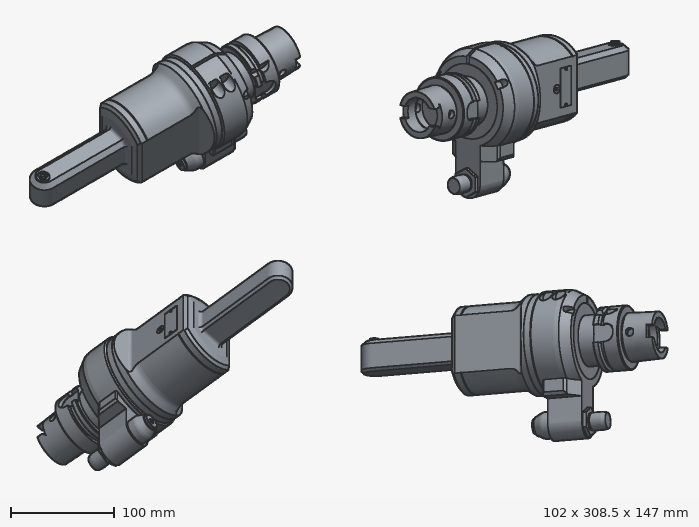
import cadquery as cq


TAIL_R = 46.0 / 2
TAPER_R = 24.0
RELIEF_R = 22.5
RELIEF_START = 30.2
FLANGE_START = 31.8
FLANGE_R = 31.5
FLANGE_CHAMFER = 1.0
GROOVE_R = 27.8
GROOVE_RIM_START = 47.5
GROOVE_FLOOR_START = 47.8
GROOVE_FLOOR_END = 51.2
GROOVE_RIM_END = 52.7
FLANGE_END = 58.3
NECK_R = 25.0
BORE_MOUTH_DIA = 34.0
BORE_CHAMBER_DIA = 38.0
BORE_MOUTH_DEPTH = 17.0
BORE_DEPTH = 29.3
CROSS_HOLE_DIA = 8.0
CROSS_HOLE_STATION = 22.5
FAR_SLOT_HALF = 12.5 / 2
FAR_SLOT_DEPTH = 5.5
NEAR_SLOT_HALF = 9.0
NEAR_SLOT_FLARE_HALF = 12.0
NEAR_SLOT_FLARE_START = 6.2
NEAR_SLOT_DEPTH = 9.3
KEYWAY_WIDTH = 18.0
KEYWAY_FLOOR = 26.5
KEYWAY_START = 36.7
NOTCH_FLOOR = 19.5
NOTCH_START = 36.0
NOTCH_HEIGHT = 28.0

RING_START = 75.2
RING_END = 115.5
RING_R = 102.0 / 2
RING_BACK_R = 89.0 / 2
CONE_END = 85.7
CONE_END_R = 50.3
CROWN_START = 90.7
RING_LIP = 1.5
SLIT_WIDTH = 3.0
SPIGOT_R = 37.0
SCREW_DIA = 12.0
SCREW_HEIGHT = 41.0
SCREW_FLOOR = 22.2
SCREW_STATIONS = (93.5, 106.5)
SPANNER_DIA = 7.5
SPANNER_STATION = 80.2
SPANNER_ANGLE = 30
SPANNER_FLOOR_R = 41.5
SHOULDER_HALF = 29.5
SHOULDER_CONE_HALF = 28.0
SHOULDER_SIDE_START = 88.8
SHOULDER_BOTTOM = 57.5
SHOULDER_CHAMFER_X = 2.2
SHOULDER_CHAMFER_Z = 3.5
SHOULDER_FRONT_CHAMFER = 1.2
ARM_END = 110.5
ARM_HALF = 15.5
TOTAL_HEIGHT = 147.0
ARM_BOTTOM = TOTAL_HEIGHT - RING_R
ARM_SIDE_END = 82.0
PIN_DROP = 80.2

PIN_SHANK_R = 6.2
PIN_REAR_R = 9.0
PIN_REAR_START = 54.0
PIN_REAR_TIP_R = 7.7
PIN_REAR_CHAMFER_R = 8.3
PIN_REAR_CHAMFER_END = 55.2
PIN_REAR_TAPER_END = 58.5
PIN_UNDERCUT = 0.5
PIN_UNDERCUT_START = 70.0
PIN_HEX_START = 71.5
PIN_HEX_CORNER_R = 14.5
PIN_HEAD_R = 13.3
PIN_HEAD_TAPER_START = 118.0
PIN_CONE_R = 12.5
PIN_CONE_START = 120.3
PIN_CONE_END = 127.5
PIN_CONE_END_R = 9.3
PIN_TIP_R = 7.5
PIN_END = 129.8
PIN_SOCKET_DIA = 6.0
PIN_SOCKET_DEPTH = 4.5

HOUSING_R = 49.3
SEAM_R = 49.0
SEAM_STATION = 121.8
SEAM_WIDTH = 0.5
HOUSING_SHOULDER = 129.5
HOUSING_RIM = 134.0
HOUSING_RIM_R = 46.3
NECK_FILLET_MID_R = 44.0
NECK_FILLET_MID = 137.5
BARREL_START = 142.0
BARREL_R = 43.2
NOSE_SEAM_STATION = 193.5
NOSE_SEAM_DEPTH = 0.3
NOSE_EDGE = 201.0
NOSE_CONE_START = 203.8
NOSE_CONE_R = 39.8
NOSE_FACE = 206.0
NOSE_FACE_R = 31.0
FLAT_X = 32.5
FLAT_RUNOUT_X = 35.5
FLAT_RUNOUT_STATION = 130.0
FLAT_FILLET_END = 134.0
FLAT_FILLET_MID = (33.3, 131.5)
FLAT_SLOPE_X = 51.2
FLAT_SLOPE_STATION = 124.5
NOSE_FLAT_EDGE = 200.0
NOSE_FLAT_MID_X = 30.0
NOSE_FLAT_FACE_X = 23.7
ENGRAVE_DEPTH = 0.3
PLATE_STATION = 183.8
PLATE_WIDTH = 16.0
PLATE_HEIGHT = 39.2
PLATE_CORNER_R = 1.0
RIVET_DIA = 2.5
RIVET_HEIGHT = 18.0
RIVET_LENGTH = 1.0
PLUG_STATION = 170.2
PLUG_DIA = 8.5
PLUG_SOCKET_DIA = 3.0
PLUG_SOCKET_DEPTH = 2.0

BAR_END = 308.5
BAR_HALF = 14.2
BAR_TOP = 17.0
BAR_BOTTOM = -14.8
BAR_TOP_CHAMFER_X = 5.2
BAR_TOP_CHAMFER_Z = 4.5
BAR_BOTTOM_CHAMFER = 2.8
BAR_ROOT_FILLET = 3.5
NUT_STATION = 295.7
NUT_RECESS_DIA = 12.5
NUT_RECESS_DEPTH = 1.5
NUT_NECK_R = 3.0
NUT_RIM_R = 4.3
NUT_TOP = 19.7
NUT_RIM_THICKNESS = 1.0
NUT_SEAT_DEPTH = 6.2
NUT_SOCKET_DIA = 5.0
NUT_SOCKET_DEPTH = 2.0

HEX_SIDES = 6
ROOT_MARGIN = 0.3
CLEAR = 123.5


def axial(pairs):
    """Points in the XY plane from (x or radius, station) pairs."""
    return [(x, -station) for x, station in pairs]


def turned(profile):
    """Solid of revolution about Y from (radius, station) pairs."""
    return cq.Workplane("XY").polyline(axial(profile)).close().revolve(360, (0, 0, 0), (0, 1, 0))


def across(station):
    """Plane across the main axis: local x is X, local y is Z, normal toward the nose."""
    return cq.Workplane("XZ", origin=(0, -station, 0))


def plan(points, bottom, height):
    """Prism along Z from (x, station) pairs."""
    return cq.Workplane("XY", origin=(0, 0, bottom)).polyline(axial(points)).close().extrude(height)


def facing_x(x, station=0.0, z=0.0):
    """Plane facing +X: local x is Y, local y is Z."""
    return cq.Workplane("YZ", origin=(x, -station, z))


def box(x0, x1, station0, station1, z0, z1):
    """Rectangular block between two x, two station and two z limits."""
    return plan([(x0, station0), (x1, station0), (x1, station1), (x0, station1)], z0, z1 - z0)


def flange_slot(floor, start):
    """Round-ended keyway cutter on the +X side, open toward the neck."""
    radius = KEYWAY_WIDTH / 2
    end = facing_x(floor, start + radius).circle(radius).extrude(CLEAR)
    run = box(floor, floor + CLEAR, start + radius, FLANGE_END, -radius, radius)
    return end.union(run)


def make_spindle():
    body = turned([
        (0, 0), (TAIL_R, 0), (TAPER_R, RELIEF_START), (RELIEF_R, RELIEF_START),
        (RELIEF_R, FLANGE_START), (FLANGE_R - FLANGE_CHAMFER, FLANGE_START),
        (FLANGE_R, FLANGE_START + FLANGE_CHAMFER), (FLANGE_R, GROOVE_RIM_START),
        (GROOVE_R, GROOVE_FLOOR_START), (GROOVE_R, GROOVE_FLOOR_END),
        (FLANGE_R, GROOVE_RIM_END), (FLANGE_R, FLANGE_END - FLANGE_CHAMFER),
        (FLANGE_R - FLANGE_CHAMFER, FLANGE_END), (NECK_R, FLANGE_END),
        (NECK_R, RING_START), (0, RING_START),
    ])
    mouth_r = BORE_MOUTH_DIA / 2
    chamber_r = BORE_CHAMBER_DIA / 2
    step = chamber_r - mouth_r
    body = body.cut(turned([
        (0, 0), (mouth_r, 0), (mouth_r, BORE_MOUTH_DEPTH),
        (chamber_r, BORE_MOUTH_DEPTH + step), (chamber_r, BORE_DEPTH), (0, BORE_DEPTH),
    ]))
    body = body.cut(facing_x(-CLEAR, CROSS_HOLE_STATION).circle(CROSS_HOLE_DIA / 2).extrude(2 * CLEAR))

    body = body.cut(box(0, CLEAR, 0, FAR_SLOT_DEPTH, -FAR_SLOT_HALF, FAR_SLOT_HALF))
    near_slot = [
        (0, NEAR_SLOT_HALF), (-NEAR_SLOT_FLARE_START, NEAR_SLOT_HALF),
        (-NEAR_SLOT_DEPTH, NEAR_SLOT_FLARE_HALF), (-NEAR_SLOT_DEPTH, -NEAR_SLOT_FLARE_HALF),
        (-NEAR_SLOT_FLARE_START, -NEAR_SLOT_HALF), (0, -NEAR_SLOT_HALF),
    ]
    body = body.cut(facing_x(0).polyline(near_slot).close().extrude(-CLEAR))

    keyway = flange_slot(KEYWAY_FLOOR, KEYWAY_START)
    body = body.cut(keyway).cut(keyway.mirror("YZ"))
    return body.cut(flange_slot(NOTCH_FLOOR, NOTCH_START).translate((0, 0, NOTCH_HEIGHT)))


def make_clamp_ring():
    ring = turned([
        (0, RING_START), (RING_BACK_R, RING_START), (CONE_END_R, CONE_END), (RING_R, CROWN_START),
        (RING_R, RING_END - RING_LIP), (RING_R - RING_LIP, RING_END), (0, RING_END),
    ])

    shoulder = plan([
        (-ARM_HALF, RING_START), (ARM_HALF, RING_START), (SHOULDER_CONE_HALF, CONE_END),
        (SHOULDER_HALF, SHOULDER_SIDE_START), (SHOULDER_HALF, ARM_END - SHOULDER_FRONT_CHAMFER),
        (SHOULDER_HALF - SHOULDER_FRONT_CHAMFER, ARM_END),
        (SHOULDER_FRONT_CHAMFER - SHOULDER_HALF, ARM_END),
        (-SHOULDER_HALF, ARM_END - SHOULDER_FRONT_CHAMFER), (-SHOULDER_HALF, SHOULDER_SIDE_START),
        (-SHOULDER_CONE_HALF, CONE_END),
    ], -SHOULDER_BOTTOM, SHOULDER_BOTTOM)
    corner_x = SHOULDER_HALF - SHOULDER_CHAMFER_X
    corner_z = SHOULDER_CHAMFER_Z - SHOULDER_BOTTOM
    section = across(RING_START).polyline([
        (-SHOULDER_HALF, 0), (SHOULDER_HALF, 0), (SHOULDER_HALF, corner_z),
        (corner_x, -SHOULDER_BOTTOM), (-corner_x, -SHOULDER_BOTTOM), (-SHOULDER_HALF, corner_z),
    ]).close().extrude(ARM_END - RING_START)

    arm = (
        across(RING_START)
        .moveTo(-ARM_HALF, 0).lineTo(-ARM_HALF, -ARM_SIDE_END)
        .threePointArc((0, -ARM_BOTTOM), (ARM_HALF, -ARM_SIDE_END))
        .lineTo(ARM_HALF, 0).close()
        .extrude(ARM_END - RING_START)
    )
    ring = ring.union(shoulder.intersect(section)).union(arm)

    ring = ring.cut(across(RING_START).circle(SPIGOT_R).extrude(RING_END - RING_START))
    ring = ring.cut(box(-SLIT_WIDTH / 2, SLIT_WIDTH / 2, RING_START, RING_END, 0, CLEAR))
    ring = ring.cut(across(RING_START).center(0, -PIN_DROP).circle(PIN_SHANK_R).extrude(ARM_END - RING_START))
    for station in SCREW_STATIONS:
        ring = ring.cut(facing_x(SCREW_FLOOR, station, SCREW_HEIGHT).circle(SCREW_DIA / 2).extrude(CLEAR))

    slot_r = SPANNER_DIA / 2
    slot_end = facing_x(SPANNER_FLOOR_R, SPANNER_STATION).circle(slot_r).extrude(CLEAR)
    slot_run = box(SPANNER_FLOOR_R, CLEAR, RING_START, SPANNER_STATION, -slot_r, slot_r)
    spanner_slot = slot_end.union(slot_run)
    for angle in (SPANNER_ANGLE, 180 - SPANNER_ANGLE):
        ring = ring.cut(spanner_slot.rotate((0, 0, 0), (0, 1, 0), -angle))
    return ring


def make_locating_pin():
    undercut_r = PIN_REAR_R - PIN_UNDERCUT
    pin = turned([
        (0, PIN_REAR_START), (PIN_REAR_TIP_R, PIN_REAR_START),
        (PIN_REAR_CHAMFER_R, PIN_REAR_CHAMFER_END), (PIN_REAR_R, PIN_REAR_TAPER_END),
        (PIN_REAR_R, PIN_UNDERCUT_START),
        (undercut_r, PIN_UNDERCUT_START), (undercut_r, PIN_HEX_START), (PIN_SHANK_R, PIN_HEX_START),
        (PIN_SHANK_R, ARM_END), (PIN_HEAD_R, ARM_END), (PIN_HEAD_R, PIN_HEAD_TAPER_START),
        (PIN_CONE_R, PIN_CONE_START),
        (PIN_CONE_END_R, PIN_CONE_END), (PIN_TIP_R, PIN_CONE_END), (PIN_TIP_R, PIN_END), (0, PIN_END),
    ])
    hexagon = across(PIN_HEX_START).polygon(HEX_SIDES, 2 * PIN_HEX_CORNER_R).extrude(RING_START - PIN_HEX_START)
    pin = pin.union(hexagon.rotate((0, 0, 0), (0, 1, 0), 180 / HEX_SIDES))
    pin = pin.cut(across(PIN_END).polygon(HEX_SIDES, PIN_SOCKET_DIA).extrude(-PIN_SOCKET_DEPTH))
    return pin.translate((0, 0, -PIN_DROP))


def make_bar():
    top_x = BAR_HALF - BAR_TOP_CHAMFER_X
    bottom_x = BAR_HALF - BAR_BOTTOM_CHAMFER
    side_top = BAR_TOP - BAR_TOP_CHAMFER_Z
    side_bottom = BAR_BOTTOM + BAR_BOTTOM_CHAMFER
    tip_centre = BAR_END - BAR_HALF
    straight = across(NOSE_FACE).polyline([
        (-BAR_HALF, side_bottom), (-bottom_x, BAR_BOTTOM), (bottom_x, BAR_BOTTOM), (BAR_HALF, side_bottom),
        (BAR_HALF, side_top), (top_x, BAR_TOP), (-top_x, BAR_TOP), (-BAR_HALF, side_top),
    ]).close().extrude(tip_centre - NOSE_FACE)
    tip = (
        cq.Workplane("XZ")
        .polyline([(0, BAR_BOTTOM), (bottom_x, BAR_BOTTOM), (BAR_HALF, side_bottom),
                   (BAR_HALF, side_top), (top_x, BAR_TOP), (0, BAR_TOP)])
        .close().revolve(360, (0, 0, 0), (0, 1, 0))
        .translate((0, -tip_centre, 0))
    )
    return straight.union(tip)


def flat_cutter():
    """Removes the +X side of the housing: sloped run-out, fillet, flat and nose bevels."""
    mid_x, mid_station = FLAT_FILLET_MID
    return (
        cq.Workplane("XY", origin=(0, 0, -CLEAR))
        .moveTo(FLAT_SLOPE_X, -FLAT_SLOPE_STATION)
        .lineTo(FLAT_RUNOUT_X, -FLAT_RUNOUT_STATION)
        .threePointArc((mid_x, -mid_station), (FLAT_X, -FLAT_FILLET_END))
        .lineTo(FLAT_X, -NOSE_FLAT_EDGE)
        .lineTo(NOSE_FLAT_MID_X, -NOSE_CONE_START)
        .lineTo(NOSE_FLAT_FACE_X, -NOSE_FACE)
        .lineTo(FLAT_SLOPE_X, -NOSE_FACE)
        .close().extrude(2 * CLEAR)
    )


def make_housing():
    seam_end = SEAM_STATION + SEAM_WIDTH
    nose_seam_end = NOSE_SEAM_STATION + SEAM_WIDTH
    nose_seam_r = BARREL_R - NOSE_SEAM_DEPTH
    rear = [
        (0, RING_START), (SPIGOT_R, RING_START), (SPIGOT_R, RING_END), (SEAM_R, RING_END),
        (SEAM_R, seam_end), (HOUSING_R, seam_end), (HOUSING_R, HOUSING_SHOULDER),
        (HOUSING_RIM_R, HOUSING_RIM),
    ]
    front = [
        (BARREL_R, NOSE_SEAM_STATION),
        (nose_seam_r, NOSE_SEAM_STATION), (nose_seam_r, nose_seam_end), (BARREL_R, nose_seam_end),
        (BARREL_R, NOSE_EDGE), (NOSE_CONE_R, NOSE_CONE_START), (NOSE_FACE_R, NOSE_FACE), (0, NOSE_FACE),
    ]
    body = (
        cq.Workplane("XY")
        .polyline(axial(rear))
        .threePointArc((NECK_FILLET_MID_R, -NECK_FILLET_MID), (BARREL_R, -BARREL_START))
        .polyline(axial(front), includeCurrent=True)
        .close().revolve(360, (0, 0, 0), (0, 1, 0))
    )
    cutter = flat_cutter()
    body = body.cut(cutter).cut(cutter.mirror("YZ"))

    root = cq.selectors.BoxSelector(
        (-BAR_HALF - ROOT_MARGIN, -NOSE_FACE - ROOT_MARGIN, BAR_BOTTOM - ROOT_MARGIN),
        (BAR_HALF + ROOT_MARGIN, -NOSE_FACE + ROOT_MARGIN, BAR_TOP + ROOT_MARGIN),
    )
    body = body.union(make_bar()).edges(root).fillet(BAR_ROOT_FILLET)

    nut_axis = cq.Workplane("XY", origin=(0, -NUT_STATION, BAR_TOP))
    body = body.cut(nut_axis.circle(NUT_RECESS_DIA / 2).extrude(-NUT_RECESS_DEPTH))
    body = body.cut(nut_axis.circle(NUT_NECK_R).extrude(-NUT_SEAT_DEPTH))

    plate = facing_x(-FLAT_X, PLATE_STATION).rect(PLATE_WIDTH, PLATE_HEIGHT).extrude(ENGRAVE_DEPTH)
    body = body.cut(plate.edges("|X").fillet(PLATE_CORNER_R))
    for z in (-RIVET_HEIGHT, RIVET_HEIGHT):
        rivet = facing_x(ENGRAVE_DEPTH - FLAT_X, PLATE_STATION, z).circle(RIVET_DIA / 2)
        body = body.union(rivet.extrude(-RIVET_LENGTH))
    plug = facing_x(-FLAT_X, PLUG_STATION)
    body = body.cut(plug.circle(PLUG_DIA / 2).extrude(ENGRAVE_DEPTH))
    return body.cut(plug.polygon(HEX_SIDES, PLUG_SOCKET_DIA).extrude(PLUG_SOCKET_DEPTH))


def make_tool_nut():
    profile = [
        (0, BAR_TOP - NUT_SEAT_DEPTH), (NUT_NECK_R, BAR_TOP - NUT_SEAT_DEPTH), (NUT_NECK_R, BAR_TOP),
        (NUT_RIM_R, NUT_TOP - NUT_RIM_THICKNESS), (NUT_RIM_R, NUT_TOP), (0, NUT_TOP),
    ]
    nut = cq.Workplane("XZ").polyline(profile).close().revolve(360, (0, 0, 0), (0, 1, 0))
    socket = cq.Workplane("XY", origin=(0, 0, NUT_TOP)).polygon(HEX_SIDES, NUT_SOCKET_DIA)
    return nut.cut(socket.extrude(-NUT_SOCKET_DEPTH)).translate((0, -NUT_STATION, 0))


spindle = make_spindle()
clamp_ring = make_clamp_ring()
locating_pin = make_locating_pin()
housing = make_housing()
tool_nut = make_tool_nut()

result = cq.Compound.makeCompound([
    spindle.val(), clamp_ring.val(), locating_pin.val(), housing.val(), tool_nut.val(),
])